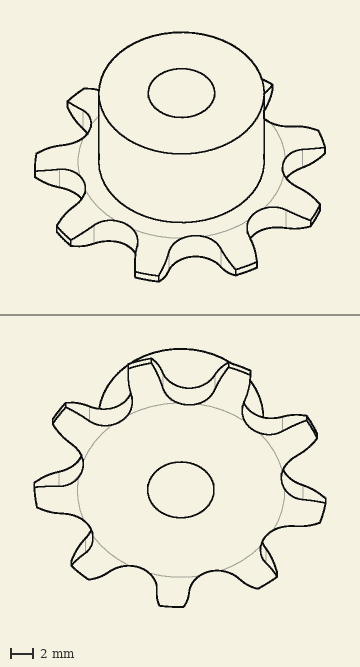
import cadquery as cq
import math

tooth_count = 9
pitch = 8.0
tip_radius = 13.3
seat_radius = 2.52
seat_half_angle = 70
flank_radius = 6.75
flank_sweep = 30
plate_thickness = 2.8
flat_face_radius = 9.4
side_radius = pitch
hub_diameter = 15.0
bore_diameter = 6.0
total_height = 12.0

tooth_angle = 360 / tooth_count
pitch_radius = pitch / (2 * math.sin(math.pi / tooth_count))


def polar(center, radius, degrees):
    """Point at a given distance and direction from a center."""
    angle = math.radians(degrees)
    return (center[0] + radius * math.cos(angle), center[1] + radius * math.sin(angle))


def mirrored(point):
    """Point reflected across the middle line of the gap."""
    return (point[0], -point[1])


def side_drop(radius):
    """Depth of the rounded tooth side below the flat face."""
    run = radius - flat_face_radius
    return side_radius - math.sqrt(side_radius**2 - run**2)


def make_blank():
    """Toothless disc whose rim is rounded on both sides."""
    middle_radius = (flat_face_radius + tip_radius) / 2
    middle_drop = side_drop(middle_radius)
    tip_drop = side_drop(tip_radius)
    return (
        cq.Workplane("XZ")
        .lineTo(flat_face_radius, 0)
        .threePointArc((middle_radius, middle_drop), (tip_radius, tip_drop))
        .lineTo(tip_radius, plate_thickness - tip_drop)
        .threePointArc((middle_radius, plate_thickness - middle_drop), (flat_face_radius, plate_thickness))
        .lineTo(0, plate_thickness)
        .close()
        .revolve(360, (0, 0, 0), (0, 1, 0))
    )


def make_gap():
    """Cutter for one tooth gap, opening along +X."""
    seat_center = (pitch_radius, 0)
    seat_bottom = (pitch_radius - seat_radius, 0)
    flank_direction = 180 - seat_half_angle
    flank_center = polar(seat_center, seat_radius + flank_radius, flank_direction)
    flank_start = polar(seat_center, seat_radius, flank_direction)
    flank_middle = polar(flank_center, flank_radius, flank_direction + 180 + flank_sweep / 2)
    flank_end = polar(flank_center, flank_radius, flank_direction + 180 + flank_sweep)
    return (
        cq.Workplane("XY")
        .moveTo(*flank_end)
        .threePointArc(flank_middle, flank_start)
        .threePointArc(seat_bottom, mirrored(flank_start))
        .threePointArc(mirrored(flank_middle), mirrored(flank_end))
        .close()
        .extrude(plate_thickness)
    )


result = make_blank()
gap = make_gap()
for index in range(tooth_count):
    gap_direction = 90 + (index + 0.5) * tooth_angle
    result = result.cut(gap.rotate((0, 0, 0), (0, 0, 1), gap_direction))

hub = cq.Workplane("XY").circle(hub_diameter / 2).extrude(total_height)
bore = cq.Workplane("XY").circle(bore_diameter / 2).extrude(total_height)
result = result.union(hub).cut(bore)